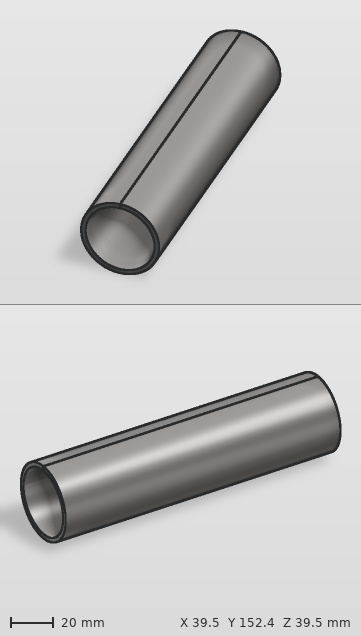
import cadquery as cq

length = 152.4
outer_diameter = 39.5
wall = 2.3
slit_width = 0.2

outer_radius = outer_diameter / 2
inner_radius = outer_radius - wall

tube = (
    cq.Workplane("XZ", origin=(0, length / 2, 0))
    .circle(outer_radius)
    .circle(inner_radius)
    .extrude(length)
)

slit = (
    cq.Workplane("XY")
    .box(slit_width, length, outer_radius, centered=(True, True, False))
)

result = tube.cut(slit)